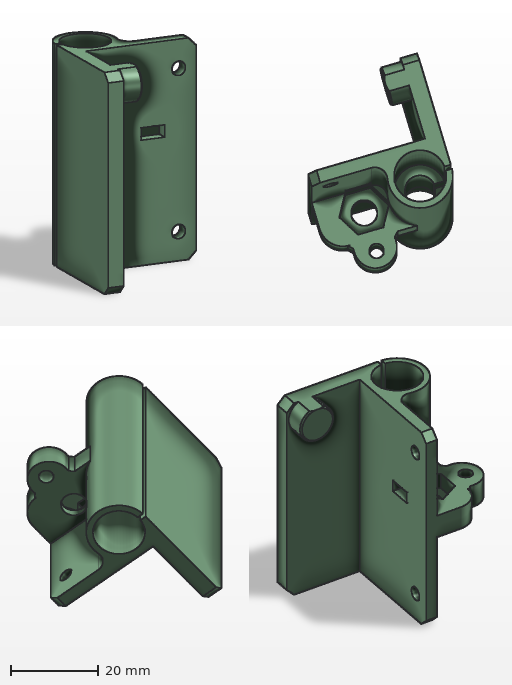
import cadquery as cq
import math

HEIGHT = 53.0

TUBE_RADIUS = 7.5
BEARING_DIAMETER = 12.0
COLLAR_BORE_DIAMETER = 7.0
COLLAR_LENGTH = 15.05
SLIT_WIDTH = 1.0

WALL_INNER_X = 5.0
WALL_OUTER_X = 8.0
WALL_TOP_Y = 24.5
FOOT_THICKNESS = 4.0
FOOT_END_X = 28.0
PLATE_CHAMFER = 2.0
TUBE_FILLET = 2.95

SCREW_DIAMETER = 3.4
WALL_SCREW_Y = 20.0
WALL_SCREW_INSET = 7.0
WINDOW_WIDTH = 6.0
WINDOW_HEIGHT = 2.95

ARM_BOTTOM_Z = 24.0
ARM_THICKNESS = 6.0
ARM_SIDE_X = -7.0
ARM_CORNER_RADIUS = 5.5
ROD_Y = 13.4
ROD_HOLE_DIAMETER = 6.0
NUT_ACROSS_CORNERS = 12.0
NUT_DEPTH = 4.0
LUG_RADIUS = 5.0
LUG_CENTER_X = -9.0
LUG_HOLE_X = -10.0
LUG_NECK_CHAMFER = 1.0

BOSS_DIAMETER = 9.1
BOSS_HEIGHT = 5.1
BOSS_X = 22.9
BOSS_FLAT_HEIGHT = 4.15
BOSS_CHAMFER = 0.35

ARM_TOP_Z = ARM_BOTTOM_Z + ARM_THICKNESS
FOOT_TOP_Y = FOOT_THICKNESS - TUBE_RADIUS


def block(x_range, y_range, z_range):
    """Box between the given limits."""
    lows, highs = zip(x_range, y_range, z_range)
    size = [high - low for low, high in zip(lows, highs)]
    return cq.Workplane("XY").box(*size, centered=False).translate(lows)


def cylinder(diameter, x, y, bottom, top):
    """Vertical cylinder between two heights."""
    return cq.Workplane("XY", origin=(x, y, bottom)).circle(diameter / 2).extrude(top - bottom)


def make_wall():
    wall = block((WALL_INNER_X, WALL_OUTER_X), (-TUBE_RADIUS, WALL_TOP_Y), (0, HEIGHT))
    return wall.faces(">Y").edges("|X").chamfer(PLATE_CHAMFER)


def make_foot():
    foot = block((0, FOOT_END_X), (-TUBE_RADIUS, FOOT_TOP_Y), (0, HEIGHT))
    return foot.faces(">X").edges("|Y").chamfer(PLATE_CHAMFER)


def make_tube_web():
    """Fill between tube and wall, ending in a fillet tangent to both."""
    fillet_x = WALL_INNER_X - TUBE_FILLET
    center_distance = TUBE_RADIUS + TUBE_FILLET
    fillet_y = math.sqrt(center_distance**2 - fillet_x**2)
    touch_scale = TUBE_RADIUS / center_distance
    touch_point = (fillet_x * touch_scale, fillet_y * touch_scale)
    middle_angle = math.atan2(-fillet_y, -fillet_x) / 2
    arc_middle = (
        fillet_x + TUBE_FILLET * math.cos(middle_angle),
        fillet_y + TUBE_FILLET * math.sin(middle_angle),
    )
    return (
        cq.Workplane("XY")
        .moveTo(0, -TUBE_RADIUS)
        .lineTo(WALL_OUTER_X, -TUBE_RADIUS)
        .lineTo(WALL_OUTER_X, fillet_y)
        .lineTo(WALL_INNER_X, fillet_y)
        .threePointArc(arc_middle, touch_point)
        .lineTo(0, 0)
        .close()
        .extrude(HEIGHT)
    )


def make_arm():
    arm_z = (ARM_BOTTOM_Z, ARM_TOP_Z)
    arm = block((ARM_SIDE_X, WALL_INNER_X), (0, WALL_TOP_Y), arm_z)
    arm = arm.edges("|Z and <X and >Y").fillet(ARM_CORNER_RADIUS)
    neck_half = LUG_RADIUS + LUG_NECK_CHAMFER
    neck_start_x = ARM_SIDE_X - LUG_NECK_CHAMFER
    lug = (
        cq.Workplane("XY", origin=(0, ROD_Y, ARM_BOTTOM_Z))
        .moveTo(ARM_SIDE_X, neck_half)
        .lineTo(neck_start_x, LUG_RADIUS)
        .lineTo(LUG_CENTER_X, LUG_RADIUS)
        .threePointArc((LUG_CENTER_X - LUG_RADIUS, 0), (LUG_CENTER_X, -LUG_RADIUS))
        .lineTo(neck_start_x, -LUG_RADIUS)
        .lineTo(ARM_SIDE_X, -neck_half)
        .close()
        .extrude(ARM_THICKNESS)
    )
    return arm.union(lug)


def make_boss():
    """Boss along Y, cut flat flush with the top end of the part."""
    boss_z = HEIGHT - BOSS_FLAT_HEIGHT
    boss = (
        cq.Workplane("XZ", origin=(BOSS_X, FOOT_TOP_Y, boss_z))
        .circle(BOSS_DIAMETER / 2)
        .extrude(-BOSS_HEIGHT)
        .faces(">Y")
        .chamfer(BOSS_CHAMFER)
    )
    return boss.intersect(block((0, FOOT_END_X), (-TUBE_RADIUS, WALL_TOP_Y), (0, HEIGHT)))


def cut_tube(body):
    """Through bore, wider seats at both ends, and the slit."""
    collar_bottom = (HEIGHT - COLLAR_LENGTH) / 2
    collar_top = HEIGHT - collar_bottom
    half_slit = SLIT_WIDTH / 2
    return (
        body.cut(cylinder(COLLAR_BORE_DIAMETER, 0, 0, 0, HEIGHT))
        .cut(cylinder(BEARING_DIAMETER, 0, 0, 0, collar_bottom))
        .cut(cylinder(BEARING_DIAMETER, 0, 0, collar_top, HEIGHT))
        .cut(block((-half_slit, half_slit), (-TUBE_RADIUS, 0), (0, HEIGHT)))
    )


def cut_arm(body):
    """Rod hole, hexagonal nut pocket and lug hole."""
    nut = (
        cq.Workplane("XY", origin=(0, ROD_Y, ARM_TOP_Z - NUT_DEPTH))
        .transformed(rotate=(0, 0, 90))
        .polygon(6, NUT_ACROSS_CORNERS)
        .extrude(NUT_DEPTH)
    )
    return (
        body.cut(cylinder(ROD_HOLE_DIAMETER, 0, ROD_Y, ARM_BOTTOM_Z, ARM_TOP_Z))
        .cut(nut)
        .cut(cylinder(SCREW_DIAMETER, LUG_HOLE_X, ROD_Y, ARM_BOTTOM_Z, ARM_TOP_Z))
    )


def cut_wall(body):
    """Window just above the arm and two screw holes."""
    half_window = WINDOW_WIDTH / 2
    window = block(
        (WALL_INNER_X, WALL_OUTER_X),
        (ROD_Y - half_window, ROD_Y + half_window),
        (ARM_TOP_Z, ARM_TOP_Z + WINDOW_HEIGHT),
    )
    screws = (
        cq.Workplane("YZ", origin=(WALL_INNER_X, 0, 0))
        .pushPoints([(WALL_SCREW_Y, z) for z in (WALL_SCREW_INSET, HEIGHT - WALL_SCREW_INSET)])
        .circle(SCREW_DIAMETER / 2)
        .extrude(WALL_OUTER_X - WALL_INNER_X)
    )
    return body.cut(window).cut(screws)


tube = cylinder(2 * TUBE_RADIUS, 0, 0, 0, HEIGHT)
body = tube.union(make_tube_web()).union(make_wall()).union(make_foot())
body = body.union(make_arm()).union(make_boss())
result = cut_wall(cut_arm(cut_tube(body)))